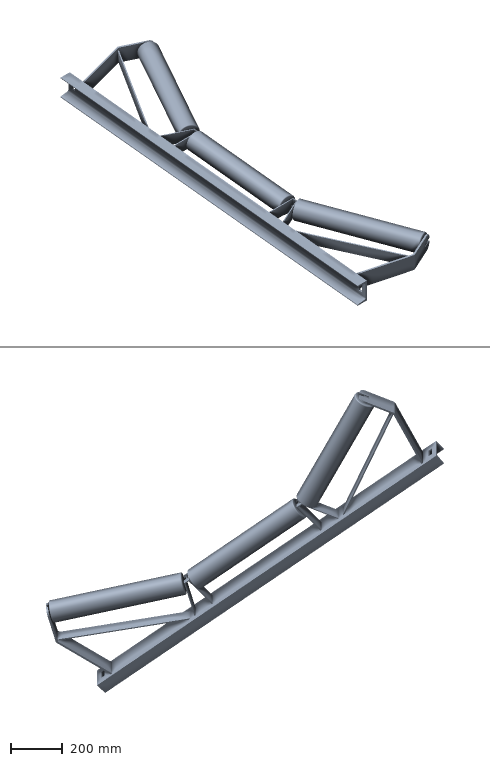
import cadquery as cq
import math

BEAM_LENGTH = 1700.0
BEAM_HEIGHT = 100.0
BEAM_WIDTH = 48.0
WEB_THICKNESS = 7.0
FLANGE_TIP_THICKNESS = 6.0
FLANGE_ROOT_THICKNESS = 10.0
ROOT_FILLET = 7.7
TIP_FILLET = 4.3
MOUNT_HOLE_WIDTH = 15.0
MOUNT_HOLE_HEIGHT = 35.0
MOUNT_HOLE_INSET = 29.0

TROUGH_ANGLE = math.radians(25)
BARREL_LENGTH = 530.0
BARREL_RADIUS = 45.0
BARREL_FILLET = 4.3
SHAFT_RADIUS = 12.0
SHAFT_FLAT_WIDTH = 14.5
CENTRE_ROLLER_Y = 167.0
WING_ROLLER_X = 547.0
WING_ROLLER_Y = 289.0

END_WIDTH = 75.0
BRACKET_GAP = 5.0
END_THICKNESS = 7.7
END_FOOT_X = 784.0
END_BEND_RADIUS = 7.0
END_TOP_RISE = 30.0
END_CORNER_RADIUS = 25.0
MIDDLE_WIDTH = 55.0
MIDDLE_THICKNESS = 4.3
MIDDLE_TOP_Y = 192.0

STRUT_WIDTH = 50.0
STRUT_THICKNESS = 5.0
STRUT_FOOT_X = 388.0

BRACKET_REACH = BARREL_LENGTH / 2 + BRACKET_GAP
SHAFT_LENGTH = 2 * (BRACKET_REACH + MIDDLE_THICKNESS)

WING_CENTRE = cq.Vector(WING_ROLLER_X, WING_ROLLER_Y)
ALONG_WING = cq.Vector(math.cos(TROUGH_ANGLE), math.sin(TROUGH_ANGLE))
ACROSS_WING = cq.Vector(-math.sin(TROUGH_ANGLE), math.cos(TROUGH_ANGLE))


def normal_to(direction):
    """Direction turned a quarter turn anticlockwise in the XY plane."""
    return cq.Vector(-direction.y, direction.x)


def at_height(point, direction, y):
    """Where the line through point along direction reaches height y."""
    return point + direction * ((y - point.y) / direction.y)


def crossing(point_a, direction_a, point_b, direction_b):
    """Where two lines in the XY plane cross."""
    across_b = normal_to(direction_b)
    step = (point_b - point_a).dot(across_b) / direction_a.dot(across_b)
    return point_a + direction_a * step


def prism(points, width):
    """Straight-sided XY outline extruded evenly about Z = 0."""
    outline = [(point.x, point.y) for point in points]
    return cq.Workplane("XY").workplane(offset=-width / 2).polyline(outline).close().extrude(width)


def bar_along_x(radius, length):
    return cq.Workplane("YZ").workplane(offset=-length / 2).circle(radius).extrude(length)


def at_centre(shape):
    return shape.translate((0, CENTRE_ROLLER_Y, 0))


def at_wing(shape):
    """Move a shape built on the X axis onto the axis of the +X wing roller."""
    return shape.rotate((0, 0, 0), (0, 0, 1), math.degrees(TROUGH_ANGLE)).translate(WING_CENTRE)


def flatted_shaft(length):
    """Round bar with two flats that face +Z and -Z."""
    flats = cq.Workplane("XY").box(length, 2 * SHAFT_RADIUS, SHAFT_FLAT_WIDTH)
    return bar_along_x(SHAFT_RADIUS, length).intersect(flats)


def shaft_slot():
    """Cutter for the shaft slots of a roller's two brackets, open away from the beam."""
    length = 2 * (BRACKET_REACH + END_THICKNESS)
    opening = cq.Workplane("XY").box(
        length, BARREL_RADIUS, SHAFT_FLAT_WIDTH, centered=(True, False, True)
    )
    return flatted_shaft(length).union(opening)


def make_roller():
    barrel = bar_along_x(BARREL_RADIUS, BARREL_LENGTH).faces("<X or >X").edges().fillet(BARREL_FILLET)
    return barrel.union(flatted_shaft(SHAFT_LENGTH))


def make_beam():
    half = BEAM_HEIGHT / 2
    web_face = BEAM_WIDTH - WEB_THICKNESS
    tip_z = half - FLANGE_TIP_THICKNESS
    root_z = half - FLANGE_ROOT_THICKNESS
    section = [
        (0, half), (BEAM_WIDTH, half), (BEAM_WIDTH, -half), (0, -half),
        (0, -tip_z), (web_face, -root_z), (web_face, root_z), (0, tip_z),
    ]
    beam = (
        cq.Workplane("YZ").workplane(offset=-BEAM_LENGTH / 2)
        .polyline(section).close().extrude(BEAM_LENGTH)
    )
    for side in (-1, 1):
        for y, z, radius in ((web_face, root_z, ROOT_FILLET), (0, tip_z, TIP_FILLET)):
            corner = cq.selectors.NearestToPointSelector((0, y, side * z))
            beam = beam.edges("|X").edges(corner).fillet(radius)

    hole_x = BEAM_LENGTH / 2 - MOUNT_HOLE_INSET
    holes = (
        cq.Workplane("XZ").pushPoints([(-hole_x, 0), (hole_x, 0)])
        .rect(MOUNT_HOLE_WIDTH, MOUNT_HOLE_HEIGHT).extrude(-BEAM_WIDTH)
    )
    return beam.cut(holes)


ARM_INNER = WING_CENTRE + ALONG_WING * BRACKET_REACH
ARM_OUTER = ARM_INNER + ALONG_WING * END_THICKNESS
FOOT_OUTER = cq.Vector(END_FOOT_X, BEAM_WIDTH)
BEND_OUTER = crossing(ARM_OUTER, ACROSS_WING, cq.Vector(BEAM_LENGTH / 2, 0), cq.Vector(0, 1))
LEG = (BEND_OUTER - FOOT_OUTER).normalized()
LEG_INNER = FOOT_OUTER + normal_to(LEG) * END_THICKNESS
BEND_INNER = crossing(ARM_INNER, ACROSS_WING, LEG_INNER, LEG)


def make_end_bracket():
    """Leg from the beam, bent into an arm with a round-cornered, slotted top."""
    top_step = ACROSS_WING * END_TOP_RISE
    leg_outline = [FOOT_OUTER, BEND_OUTER, ARM_OUTER + top_step]
    return_outline = [ARM_INNER + top_step, BEND_INNER, at_height(LEG_INNER, LEG, BEAM_WIDTH)]
    plate = prism(leg_outline + return_outline, END_WIDTH)

    bends = ((BEND_INNER, END_BEND_RADIUS), (BEND_OUTER, END_BEND_RADIUS + END_THICKNESS))
    for corner, radius in bends:
        plate = plate.edges("|Z").edges(cq.selectors.NearestToPointSelector(corner.toTuple())).fillet(radius)

    top_middle = (ARM_INNER + ARM_OUTER) * 0.5 + top_step
    for side in (-1, 1):
        corner = top_middle + cq.Vector(0, 0, side * END_WIDTH / 2)
        plate = plate.edges(cq.selectors.NearestToPointSelector(corner.toTuple())).fillet(END_CORNER_RADIUS)
    return plate.cut(at_wing(shaft_slot()))


def make_middle_bracket():
    """Folded plate: upright leg at the centre roller, flat top, sloping leg at the wing roller."""
    underside = MIDDLE_TOP_Y - MIDDLE_THICKNESS
    upright_face = cq.Vector(BRACKET_REACH, 0)
    upright_inside = cq.Vector(BRACKET_REACH + MIDDLE_THICKNESS, 0)
    slope_face = WING_CENTRE - ALONG_WING * BRACKET_REACH
    slope_inside = slope_face - ALONG_WING * MIDDLE_THICKNESS
    upright = cq.Vector(0, 1)
    plate = prism(
        [
            at_height(upright_face, upright, BEAM_WIDTH),
            at_height(upright_face, upright, MIDDLE_TOP_Y),
            at_height(slope_face, ACROSS_WING, MIDDLE_TOP_Y),
            at_height(slope_face, ACROSS_WING, BEAM_WIDTH),
            at_height(slope_inside, ACROSS_WING, BEAM_WIDTH),
            at_height(slope_inside, ACROSS_WING, underside),
            at_height(upright_inside, upright, underside),
            at_height(upright_inside, upright, BEAM_WIDTH),
        ],
        MIDDLE_WIDTH,
    )
    return plate.cut(at_centre(shaft_slot())).cut(at_wing(shaft_slot()))


def make_strut(end_bracket):
    """Flat bar whose upper end is trimmed to the inside of the bracket's bend."""
    foot = cq.Vector(STRUT_FOOT_X, BEAM_WIDTH)
    top = (BEND_INNER + BEND_OUTER) * 0.5
    direction = (top - foot).normalized()
    half = normal_to(direction) * (STRUT_THICKNESS / 2)
    bar = prism(
        [
            at_height(foot - half, direction, BEAM_WIDTH), top - half,
            top + half, at_height(foot + half, direction, BEAM_WIDTH),
        ],
        STRUT_WIDTH,
    )
    return bar.cut(end_bracket)


beam = make_beam()
centre_roller = at_centre(make_roller())
wing_roller = at_wing(make_roller())
end_bracket = make_end_bracket()
middle_bracket = make_middle_bracket()
strut = make_strut(end_bracket)

solids = [beam.val(), centre_roller.val()]
for body in (wing_roller, end_bracket, middle_bracket, strut):
    solids.append(body.val())
    solids.append(body.mirror("YZ").val())

result = cq.Compound.makeCompound(solids)